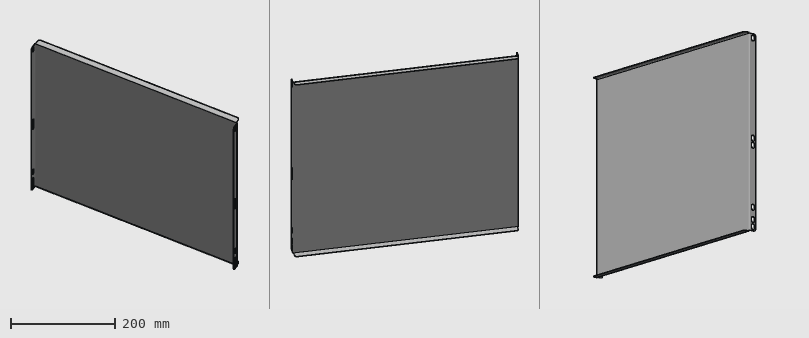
import cadquery as cq

width = 444.0
depth = 26.8
height = 398.0

thickness = 1.2
inner_bend_radius = 1.0
outer_bend_radius = inner_bend_radius + thickness

front_edge_y = -depth / 2
back_edge_y = depth / 2
end_flange_length = 12.0
panel_front_y = back_edge_y - end_flange_length
panel_back_y = panel_front_y + thickness

flange_corner_radius = 5.0
end_flange_width = width - 2 * outer_bend_radius
side_flange_end_gap = 2.0
side_flange_height = height - 2 * side_flange_end_gap

slot_width = 7.0
slot_length = 12.0
slot_edge_distance = 7.0
slot_center_y = front_edge_y + slot_edge_distance
slot_center_heights = (188.5, -11.5, -25.5, -149.5, -174.0, -188.5)


def channel_profile(plane, span, web_outer, web_inner, flange_end):
    """Closed U outline, with rounded bends, of a web and two flanges running to flange_end."""
    half_span = span / 2
    inner_half = half_span - thickness
    web_half = half_span - outer_bend_radius
    toward_end = 1 if flange_end > web_outer else -1
    bend_end = web_outer + toward_end * outer_bend_radius
    outer_arc = toward_end * outer_bend_radius
    inner_arc = toward_end * inner_bend_radius
    return (
        cq.Workplane(plane)
        .moveTo(-half_span, flange_end)
        .lineTo(-half_span, bend_end)
        .radiusArc((-web_half, web_outer), -outer_arc)
        .lineTo(web_half, web_outer)
        .radiusArc((half_span, bend_end), -outer_arc)
        .lineTo(half_span, flange_end)
        .lineTo(inner_half, flange_end)
        .lineTo(inner_half, bend_end)
        .radiusArc((web_half, web_inner), inner_arc)
        .lineTo(-web_half, web_inner)
        .radiusArc((-inner_half, bend_end), inner_arc)
        .lineTo(-inner_half, flange_end)
        .close()
    )


def make_side_channel():
    """Panel with the left and right flanges, free corners rounded."""
    profile = channel_profile("XY", width, panel_back_y, panel_front_y, front_edge_y)
    channel = profile.extrude(side_flange_height / 2, both=True)
    return channel.faces("<Y").edges("|X").fillet(flange_corner_radius)


def make_end_channel():
    """Panel with the top and bottom flanges, free corners rounded."""
    profile = channel_profile("ZY", height, panel_front_y, panel_back_y, back_edge_y)
    channel = profile.extrude(end_flange_width / 2, both=True)
    return channel.faces(">Y").edges("|Z").fillet(flange_corner_radius)


def make_slot_cutters():
    """Vertical slots running across the full width, through both side flanges."""
    slot_centers = [(slot_center_y, center_z) for center_z in slot_center_heights]
    upright = 90
    return (
        cq.Workplane("YZ")
        .pushPoints(slot_centers)
        .slot2D(slot_length, slot_width, upright)
        .extrude(width, both=True)
    )


result = make_side_channel().union(make_end_channel()).cut(make_slot_cutters())